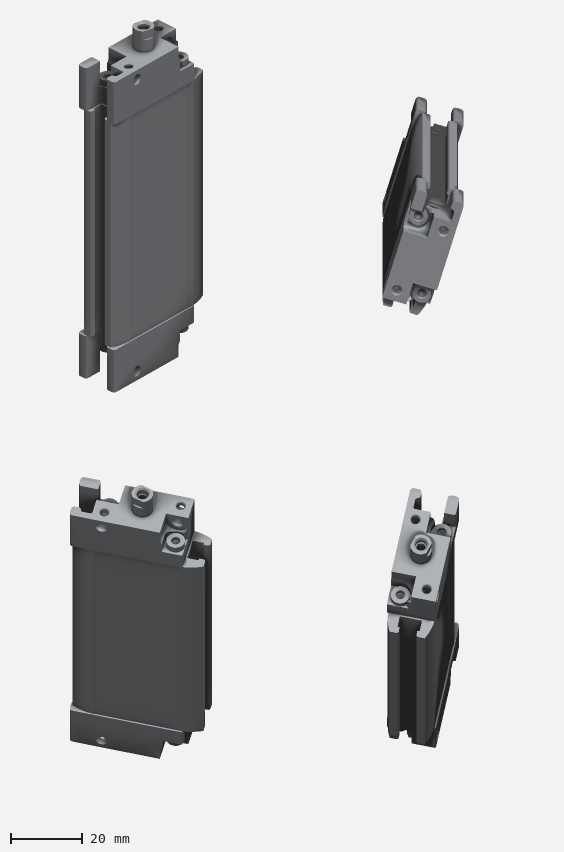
import cadquery as cq
import math

total_height = 109.0
cap_height = 14.0
rod_exposed = 7.0

barrel_half_depth = 18.7
barrel_half_width = 6.6
panel_half_width = 6.5
panel_half_depth = 11.8
jaw_root_y = 12.8
jaw_tip_x = 5.0
slot_floor_y = 13.6
slot_half_width = 3.2
lip_half_gap = 2.5
jaw_bulge = 0.3
lip_y = 16.9
lip_round = 0.7

cap_half_width = 7.0
cap_back_y = 13.2
cap_back_round = 0.2
cap_front_y = 19.3
groove_floor_y = 13.2
groove_half_width = 3.7
groove_fillet = 0.9
jaw_round = 1.0
undercut_x = 5.0
undercut_end_y = 16.2
undercut_lip_y = 16.9
undercut_fillet = 0.5

mount_y = 10.0
end_hole_x = 3.7
relief_radius = 3.3
relief_floor_x = 0.0
cross_hole_drop = 3.0
screw_y = 10.5
screw_x = 3.7
screw_pocket_radius = 3.2
breakout_x = 0.8
screw_pocket_depth = 8.4
screw_head_diameter = 5.2
screw_head_drop = 6.3
socket_mouth = 2.8
socket_diameter = 2.5
socket_depth = 1.3
pocket_edge_round = 0.5
overcut = 1.1

cross_hole_diameter = 3.3
cross_hole_mouth = 4.0
small_hole_diameter = 2.5
small_hole_mouth = 3.0
small_hole_depth = 5.5
port_drop = 11.1
point_angle = 118.0

rod_diameter = 6.0
rod_across_flats = 5.0
rod_flat_length = 2.8
rod_flat_turn = -15.0
rod_hole_mouth = 4.1
rod_hole_diameter = 3.3
rod_hole_depth = 1.1
rod_pilot_diameter = 2.5
rod_pilot_depth = 6.5

barrel_bottom = cap_height
barrel_top = total_height - rod_exposed - cap_height
rod_length = cap_height + rod_exposed


def block(x0, x1, y0, y1, z0, z1):
    """Box between two limits along each axis."""
    return cq.Workplane("XY").box(x1 - x0, y1 - y0, z1 - z0, centered=False).translate((x0, y0, z0))


def pointed_drill(diameter, depth):
    """Drill shape going down from the origin, with a conical point."""
    radius = diameter / 2
    point = radius / math.tan(math.radians(point_angle / 2))
    outline = cq.Workplane("XZ").polyline([(0, 0), (radius, 0), (radius, -depth), (0, -depth - point)]).close()
    return outline.revolve(360, (0, 0, 0), (0, 1, 0))


def mouth_cone(mouth, diameter):
    """45 degree countersink going down from the origin."""
    outline = cq.Workplane("XZ").polyline([(0, 0), (mouth / 2, 0), (0, -mouth / 2)]).close()
    cone = outline.revolve(360, (0, 0, 0), (0, 1, 0))
    return cone.union(cq.Workplane("XY").circle(diameter / 2).extrude(-mouth / 2))


def drilled_hole(diameter, depth, mouth):
    """Pointed blind hole with a countersunk mouth."""
    return pointed_drill(diameter, depth).union(mouth_cone(mouth, diameter))


def barrel_quarter_outline():
    """Closed outline of the +X, -Y quarter of the barrel profile."""
    chord_x = barrel_half_width - jaw_tip_x
    chord_y = barrel_half_depth - jaw_root_y
    chord = math.hypot(chord_x, chord_y)
    arc_mid_x = (barrel_half_width + jaw_tip_x) / 2 + jaw_bulge * chord_y / chord
    arc_mid_y = (barrel_half_depth + jaw_root_y) / 2 + jaw_bulge * chord_x / chord
    round_mid = lip_round * (1 - math.sqrt(0.5))

    return (
        cq.Workplane("XY")
        .moveTo(0, -slot_floor_y)
        .lineTo(slot_half_width, -slot_floor_y)
        .lineTo(slot_half_width, -lip_y)
        .lineTo(lip_half_gap, -lip_y)
        .lineTo(lip_half_gap, -barrel_half_depth + lip_round)
        .threePointArc(
            (lip_half_gap + round_mid, -barrel_half_depth + round_mid),
            (lip_half_gap + lip_round, -barrel_half_depth),
        )
        .lineTo(jaw_tip_x, -barrel_half_depth)
        .threePointArc((arc_mid_x, -arc_mid_y), (barrel_half_width, -jaw_root_y))
        .lineTo(panel_half_width, -panel_half_depth)
        .lineTo(panel_half_width, 0)
        .lineTo(0, 0)
        .close()
    )


def make_barrel():
    """Profile mirrored from one quarter, standing between the two caps."""
    quarter = barrel_quarter_outline().extrude(barrel_top - barrel_bottom)
    half = quarter.union(quarter.mirror("XZ"))
    return half.union(half.mirror("YZ")).clean().translate((0, 0, barrel_bottom))


def cap_blank():
    """Cap with its two front jaws and the groove between them; the outer end face is at the top."""
    inner = groove_half_width
    blank = (
        cq.Workplane("XY")
        .moveTo(-cap_half_width, cap_back_y)
        .lineTo(-cap_half_width, -cap_front_y)
        .lineTo(-inner, -cap_front_y)
        .lineTo(-inner, -groove_floor_y)
        .lineTo(undercut_x, -groove_floor_y)
        .lineTo(undercut_x, -undercut_end_y)
        .lineTo(inner, -undercut_lip_y)
        .lineTo(inner, -cap_front_y)
        .lineTo(cap_half_width, -cap_front_y)
        .lineTo(cap_half_width, cap_back_y)
        .close()
        .extrude(cap_height)
    )
    blank = blank.edges("|Z").edges("<Y").fillet(jaw_round)
    blank = blank.edges("|Z and >Y").fillet(cap_back_round)
    corner_rounds = [
        (-inner, groove_floor_y, groove_fillet),
        (undercut_x, groove_floor_y, undercut_fillet),
        (undercut_x, undercut_end_y, undercut_fillet),
        (inner, undercut_lip_y, undercut_fillet),
    ]
    for x, depth, radius in corner_rounds:
        corner = cq.selectors.NearestToPointSelector((x, -depth, cap_height / 2))
        blank = blank.edges(corner).fillet(radius)
    return blank


def corner_pocket():
    """Material taken out around the screw in the -X, -Y corner."""
    hole_z = cap_height - cross_hole_drop
    floor_z = cap_height - screw_pocket_depth
    far_x = -cap_half_width - overcut
    wall_y = -screw_y - screw_pocket_radius

    relief = block(
        far_x, relief_floor_x,
        -mount_y - relief_radius, -mount_y + relief_radius,
        hole_z, cap_height,
    )
    relief_bottom = (
        cq.Workplane("YZ")
        .center(-mount_y, hole_z)
        .circle(relief_radius)
        .extrude(relief_floor_x - far_x)
        .translate((far_x, 0, 0))
    )

    bore = (
        cq.Workplane("XY")
        .workplane(offset=floor_z)
        .center(-screw_x, -screw_y)
        .circle(screw_pocket_radius)
        .extrude(hole_z - floor_z)
    )
    side_opening = block(far_x, -screw_x, wall_y, -screw_y + screw_pocket_radius, floor_z, hole_z)
    jaw_wall = block(far_x, -screw_x, wall_y, -mount_y, floor_z, cap_height)

    fillet_end = block(
        -groove_half_width, -groove_half_width + groove_fillet,
        -groove_floor_y - groove_fillet, -mount_y,
        floor_z, cap_height,
    )

    flare_top_y = -groove_floor_y + screw_x - breakout_x
    flare = (
        cq.Workplane("XY")
        .workplane(offset=floor_z)
        .polyline([
            (-screw_x, flare_top_y),
            (-breakout_x, -groove_floor_y),
            (-breakout_x, wall_y),
            (-screw_x, wall_y),
        ])
        .close()
        .extrude(hole_z - floor_z)
    )

    edge_x = -cap_half_width + pocket_edge_round
    edge_y = wall_y - pocket_edge_round
    edge = block(-cap_half_width, edge_x, edge_y, wall_y, floor_z, cap_height)
    edge = edge.cut(cq.Workplane("XY").center(edge_x, edge_y).circle(pocket_edge_round).extrude(cap_height))

    pocket = relief
    for piece in (relief_bottom, bore, side_opening, jaw_wall, fillet_end, flare, edge):
        pocket = pocket.union(piece)
    return pocket


def screw_head():
    """Round screw head with a socket, standing on the pocket floor as part of the cap."""
    height = screw_pocket_depth - screw_head_drop
    head = cq.Workplane("XY").circle(screw_head_diameter / 2).extrude(height)
    socket = drilled_hole(socket_diameter, socket_depth, socket_mouth)
    head = head.cut(socket.translate((0, 0, height)))
    return head.translate((-screw_x, -screw_y, cap_height - screw_pocket_depth))


def make_cap():
    """Cap standing on Z = 0 with its outer end face up."""
    cap = cap_blank()
    pocket = corner_pocket()
    head = screw_head()
    for turn in (0, 180):
        cap = cap.cut(pocket.rotate((0, 0, 0), (0, 0, 1), turn))
        cap = cap.union(head.rotate((0, 0, 0), (0, 0, 1), turn))

    hole_z = cap_height - cross_hole_drop
    for y, mouth_x in ((mount_y, -cap_half_width), (-mount_y, relief_floor_x)):
        hole = cq.Workplane("YZ").center(y, hole_z).circle(cross_hole_diameter / 2)
        cap = cap.cut(hole.extrude(cap_half_width, both=True))
        cone = mouth_cone(cross_hole_mouth, cross_hole_diameter).rotate((0, 0, 0), (0, 1, 0), -90)
        cap = cap.cut(cone.translate((mouth_x, y, hole_z)))

    small = drilled_hole(small_hole_diameter, small_hole_depth, small_hole_mouth)
    for side in (1, -1):
        cap = cap.cut(small.translate((side * end_hole_x, -side * mount_y, cap_height)))
    port = small.rotate((0, 0, 0), (1, 0, 0), 90)
    return cap.cut(port.translate((0, -groove_floor_y, cap_height - port_drop)))


def make_rod():
    """Piston rod through the upper cap, with two wrench flats and a stepped hole in its end."""
    length = rod_length
    rod = cq.Workplane("XY").circle(rod_diameter / 2).extrude(length)
    flats = block(-rod_diameter, rod_diameter, -rod_diameter, rod_diameter, length - rod_flat_length, length)
    flats = flats.cut(
        block(-rod_across_flats / 2, rod_across_flats / 2, -rod_diameter, rod_diameter, 0, length)
    ).rotate((0, 0, 0), (0, 0, 1), rod_flat_turn)
    hole = (
        mouth_cone(rod_hole_mouth, rod_hole_diameter)
        .union(cq.Workplane("XY").circle(rod_hole_diameter / 2).extrude(-rod_hole_depth))
        .union(pointed_drill(rod_pilot_diameter, rod_pilot_depth))
    )
    return rod.cut(flats).cut(hole.translate((0, 0, length))).translate((0, 0, barrel_top))


barrel = make_barrel()
cap = make_cap()
lower_cap = cap.mirror("XY").translate((0, 0, cap_height))
rod = make_rod()
rod_bore = cq.Workplane("XY").circle(rod_diameter / 2).extrude(cap_height)
upper_cap = cap.cut(rod_bore).translate((0, 0, barrel_top))

result = cq.Compound.makeCompound([barrel.val(), lower_cap.val(), upper_cap.val(), rod.val()])